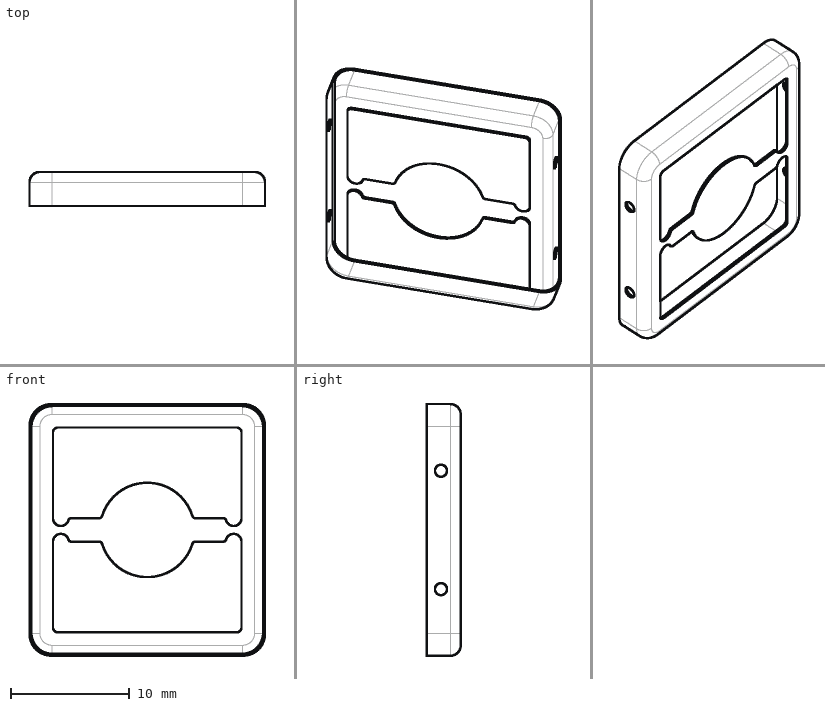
import cadquery as cq

width = 19.9
height = 21.25
depth = 2.9
wall = 0.2
corner_radius = 1.9
rim_radius = 0.9

border = 2.0
window_width = width - 2 * border
window_height = height - 2 * border
window_corner_radius = 0.4

disc_radius = 4.0
arm_width = 2.0
notch_radius = 0.65
notch_x = window_width / 2 - notch_radius
blend_radius = 0.25

hole_diameter = 1.0
hole_spacing = 9.99
hole_from_open_edge = 1.21

open_y = -depth / 2
back_y = depth / 2


def rounded_block(inset):
    """Block inset from the outer shell on all sides but the open one, with its back edge rounded."""
    block_depth = depth - inset
    return (
        cq.Workplane("XY")
        .box(width - 2 * inset, block_depth, height - 2 * inset)
        .translate((0, -inset / 2, 0))
        .edges("|Y")
        .fillet(corner_radius - inset)
        .faces(">Y")
        .edges()
        .fillet(rim_radius - inset)
    )


def floor_prism(sketch):
    """Extrude an XZ outline from the back face through the floor."""
    return sketch.extrude(2 * wall)


def floor_plane():
    return cq.Workplane("XZ", origin=(0, back_y + wall / 2, 0))


def make_opening():
    """Window area left open around the disc, the arms and their narrow necks."""
    window = floor_prism(floor_plane().rect(window_width, window_height))
    window = window.edges("|Y").fillet(window_corner_radius)
    arms = floor_prism(floor_plane().rect(window_width, arm_width))
    disc = floor_prism(floor_plane().circle(disc_radius))
    notch_centers = [(x, z) for x in (-notch_x, notch_x) for z in (-arm_width / 2, arm_width / 2)]
    notches = floor_prism(floor_plane().pushPoints(notch_centers).circle(notch_radius))
    opening = window.cut(arms).cut(disc).union(notches)

    reach = notch_x - notch_radius / 2
    arm_zone = cq.selectors.BoxSelector(
        (-reach, open_y, -arm_width / 2 - blend_radius),
        (reach, back_y + depth, arm_width / 2 + blend_radius),
    )
    return opening.edges("|Y").edges(arm_zone).fillet(blend_radius)


def make_side_holes():
    hole_y = open_y + hole_from_open_edge
    return (
        cq.Workplane("YZ")
        .pushPoints([(hole_y, -hole_spacing / 2), (hole_y, hole_spacing / 2)])
        .circle(hole_diameter / 2)
        .extrude(width, both=True)
    )


shell = rounded_block(0).cut(rounded_block(wall))
result = shell.cut(make_opening()).cut(make_side_holes())